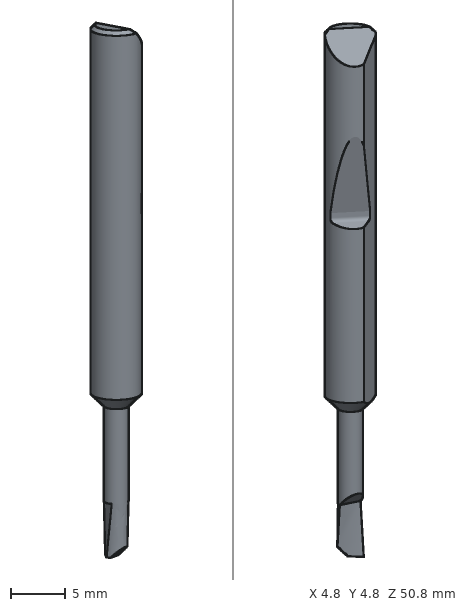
import cadquery as cq
import math

length = 50.8
shank_radius = 2.4
neck_radius = 1.15
shank_bottom = 15.6
neck_bottom = 5.3
top_chamfer = 0.4

flat_distance = 2.0
flat_angle = 144.0
bevel_edge = -0.5
notch_top = 41.15
notch_bottom = 32.3
notch_floor_y = 1.1
notch_slope = 9.5
notch_lip_slope = 21.0
notch_corner_radius = 0.45

tip_radius = 1.25
tip_twist = 24.0
rake_start = 181.0
relief_start = 261.0
rake_end = 359.0
nose_corner_x = 0.25
end_relief = 6.0

margin = 0.5


def make_bar():
    """Shank and neck, joined by a 45 degree cone."""
    cone_bottom = shank_bottom - (shank_radius - neck_radius)
    profile = [
        (0, neck_bottom),
        (neck_radius, neck_bottom),
        (neck_radius, cone_bottom),
        (shank_radius, shank_bottom),
        (shank_radius, length - top_chamfer),
        (shank_radius - top_chamfer, length),
        (0, length),
    ]
    return cq.Workplane("XZ").polyline(profile).close().revolve(360, (0, 0), (0, 1))


def prism_along_x(points):
    """Solid with a YZ outline, wide enough to cross the whole bar."""
    half_width = shank_radius + margin
    return cq.Workplane("YZ").polyline(points).close().extrude(half_width, both=True)


def make_side_flat():
    """Block beyond the flat that runs along the shank."""
    width = 2 * shank_radius
    block = cq.Workplane("XY").box(width, width, length, centered=(False, True, False))
    return block.translate((flat_distance, 0, 0)).rotate((0, 0, 0), (0, 0, 1), flat_angle)


def make_end_bevel():
    """45 degree wedge at the upper end of the shank."""
    reach = shank_radius + margin - bevel_edge
    outer_y = bevel_edge + reach
    return prism_along_x([
        (bevel_edge - margin, length + margin),
        (outer_y, length + margin),
        (outer_y, length - reach),
    ])


def make_notch():
    """Sloped clamping notch with a rounded inner corner."""
    slope = math.tan(math.radians(notch_slope))
    lip_slope = math.tan(math.radians(notch_lip_slope))
    outer_y = shank_radius + margin
    floor_rise = (shank_radius - notch_floor_y) * lip_slope
    floor_end = notch_top - (shank_radius - notch_floor_y) / slope
    notch = prism_along_x([
        (outer_y, notch_top + margin / slope),
        (notch_floor_y, floor_end),
        (notch_floor_y, notch_bottom + floor_rise),
        (outer_y, notch_bottom - margin * lip_slope),
    ])
    corner = cq.selectors.NearestToPointSelector((0, notch_floor_y, notch_bottom + floor_rise))
    return notch.edges(corner).fillet(notch_corner_radius)


def make_neck_runout():
    """45 degree wedge that leads the neck into the rake face."""
    reach = neck_radius + margin
    wedge = prism_along_x([
        (0, neck_bottom),
        (reach, neck_bottom + reach),
        (reach, neck_bottom - margin),
        (0, neck_bottom - margin),
    ])
    return wedge.rotate((0, 0, 0), (0, 0, 1), tip_twist)


def tip_section(height, radius, turn):
    """Half disc with a relief chord, turned about the axis."""
    def on_circle(angle):
        direction = math.radians(angle + turn)
        return cq.Vector(radius * math.cos(direction), radius * math.sin(direction), height)

    cutting_point = on_circle(rake_start)
    heel = on_circle(relief_start)
    back = on_circle(rake_end)
    middle = on_circle((relief_start + rake_end) / 2)
    return cq.Wire.assembleEdges([
        cq.Edge.makeLine(cutting_point, heel),
        cq.Edge.makeThreePointArc(heel, middle, back),
        cq.Edge.makeLine(back, cutting_point),
    ])


def make_tip():
    """Twisted cutting tip with a relieved end and a 45 degree nose chamfer."""
    sections = [
        tip_section(0, tip_radius, 0),
        tip_section(neck_bottom, neck_radius, tip_twist),
    ]
    tip = cq.Workplane(obj=cq.Solid.makeLoft(sections, True))
    relief_slope = math.tan(math.radians(end_relief))
    nose_z = (nose_corner_x + tip_radius) * relief_slope
    reach = tip_radius + margin
    below_end = (
        cq.Workplane("XZ")
        .polyline([
            (-tip_radius, 0),
            (nose_corner_x, nose_z),
            (reach, nose_z + reach - nose_corner_x),
            (reach, -margin),
            (-tip_radius, -margin),
        ])
        .close()
        .extrude(reach, both=True)
    )
    return tip.cut(below_end)


bar = make_bar().cut(make_side_flat()).cut(make_end_bevel())
bar = bar.cut(make_notch()).cut(make_neck_runout())
result = bar.union(make_tip())